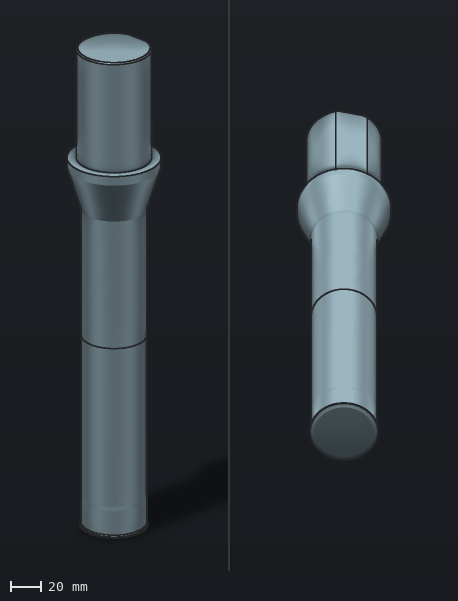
import cadquery as cq

TOTAL_HEIGHT = 347.0
COLLAR_TOP = 267.5
COLLAR_BOTTOM = 261.0
CONE_BOTTOM = 230.7
NECK_BOTTOM = 225.5
JOINT_HEIGHT = 138.5
LAND_TAPER_TOP = 23.5
LAND_TAPER_BOTTOM = 20.5
FLARE_TOP = 3.0
RIM_TOP = 2.0
RIM_BOTTOM = 1.5
FACE_EDGE = 0.7

SHANK_DIAMETER = 50.0
COLLAR_DIAMETER = 62.5
NECK_DIAMETER = 43.7
STEM_END_DIAMETER = 43.5
HEAD_DIAMETER = 43.5
LAND_DIAMETER = 43.7
RIM_DIAMETER = 45.0
FACE_DIAMETER = 39.5

SHANK_CHAMFER = 1.0
FLAT_OFFSET = 22.5
FLAT_RUNOUT_BOTTOM = 270.5
FLAT_RUNOUT_TOP = FLAT_RUNOUT_BOTTOM + SHANK_DIAMETER / 2 - FLAT_OFFSET


def turned_body(stations):
    """Revolve (diameter, height) stations, listed bottom to top, about Z."""
    bottom = stations[0][1]
    top = stations[-1][1]
    outline = [(diameter / 2, height) for diameter, height in stations if diameter > 0]
    return (
        cq.Workplane("XZ")
        .polyline([(0, bottom), *outline, (0, top)])
        .close()
        .revolve(360, (0, 0), (0, 1))
    )


def shank_flat_cutter():
    """Material removed for the +Y flat, with a 45 degree run-out at its foot."""
    outer_y = SHANK_DIAMETER / 2
    return (
        cq.Workplane("YZ")
        .polyline([
            (FLAT_OFFSET, FLAT_RUNOUT_TOP),
            (outer_y, FLAT_RUNOUT_BOTTOM),
            (outer_y, TOTAL_HEIGHT),
            (FLAT_OFFSET, TOTAL_HEIGHT),
        ])
        .close()
        .extrude(SHANK_DIAMETER / 2, both=True)
    )


def make_holder():
    """Shank, collar, cone and slightly tapering stem."""
    turned = turned_body([
        (STEM_END_DIAMETER, JOINT_HEIGHT),
        (NECK_DIAMETER, NECK_BOTTOM),
        (NECK_DIAMETER, CONE_BOTTOM),
        (COLLAR_DIAMETER, COLLAR_BOTTOM),
        (COLLAR_DIAMETER, COLLAR_TOP),
        (SHANK_DIAMETER, COLLAR_TOP),
        (SHANK_DIAMETER, TOTAL_HEIGHT - SHANK_CHAMFER),
        (SHANK_DIAMETER - 2 * SHANK_CHAMFER, TOTAL_HEIGHT),
    ])
    return turned.cut(shank_flat_cutter())


def make_head():
    """Lower cylinder with a wider land, flared rim and shallow conical end."""
    return turned_body([
        (0, 0),
        (FACE_DIAMETER, FACE_EDGE),
        (RIM_DIAMETER, RIM_BOTTOM),
        (RIM_DIAMETER, RIM_TOP),
        (LAND_DIAMETER, FLARE_TOP),
        (LAND_DIAMETER, LAND_TAPER_BOTTOM),
        (HEAD_DIAMETER, LAND_TAPER_TOP),
        (HEAD_DIAMETER, JOINT_HEIGHT),
    ])


holder = make_holder()
head = make_head()

result = cq.Compound.makeCompound([holder.val(), head.val()])